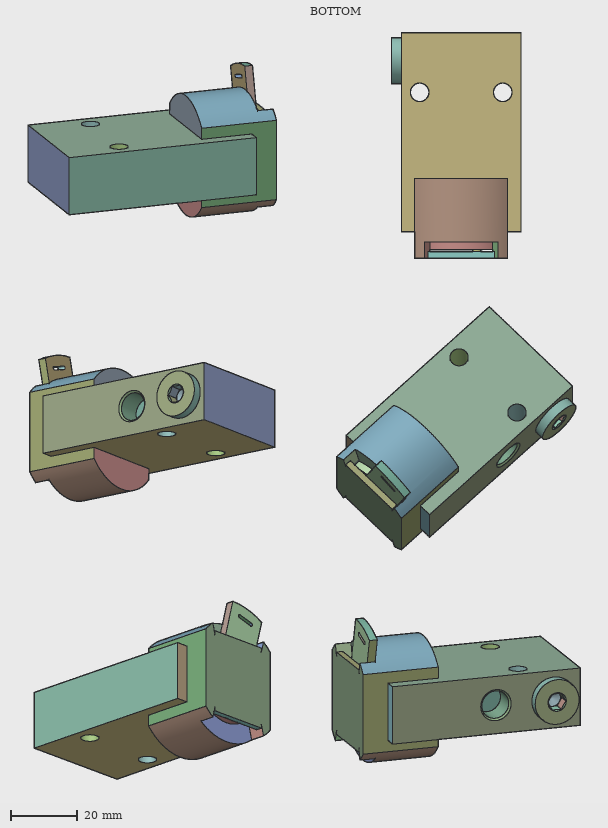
import cadquery as cq
import math

total_length = 68.0

block_width = 36.05
block_length = 60.05
block_height = 18.0

mount_hole_diameter = 5.5
mount_hole_spacing = 25.0
mount_hole_y = 18.0

port_bore_diameter = 8.6
port_mouth_diameter = 9.7
port_chamfer = (port_mouth_diameter - port_bore_diameter) / 2
port_depth = 8.0
open_port_y = 27.0
plugged_port_y = 8.5

cap_diameter = 37.55
cap_width = 28.0
cap_length = 24.0
cap_front_y = total_length - cap_length

recess_depth = 4.95
recess_front_y = total_length - recess_depth
recess_waist_width = 18.9

lever_swing = 15.0
stop_clearance = 0.2
lever_back_y = total_length - 2.45
tab_width = 13.0
tab_radius = 26.0
hub_diameter = 25.3
hub_back_setback = 0.15
hub_back_y = lever_back_y - hub_back_setback
tab_slot_length = 6.1
tab_slot_width = 1.0
tab_slot_radius = 22.0

plate_width = 20.1
plate_height = 25.85
plate_thickness = 2.0
plate_front_y = total_length - plate_thickness
pin_diameter = 2.45
pin_x = 4.7

flange_diameter = 14.0
flange_thickness = 3.0
socket_across_flats = 4.95
socket_across_corners = socket_across_flats / math.cos(math.radians(30))
socket_depth = 4.0
socket_mouth_diameter = 5.85
socket_tip_angle = 118.0


def section_at(y):
    """Plane across the valve at the given Y, local x along -X, local y along +Z, extruding to +Y."""
    return cq.Workplane(cq.Plane(origin=(0, y, 0), xDir=(-1, 0, 0), normal=(0, 1, 0)))


def side_section(x, y):
    """Plane at the given X, centred on the port at the given Y and extruding into the block."""
    return cq.Workplane(cq.Plane(origin=(x, y, 0), xDir=(0, 1, 0), normal=(1, 0, 0)))


def wall_x(z):
    """Half width of the recess on its flared wall, parallel to a tab side at the end of its swing."""
    swing = math.radians(lever_swing)
    return (tab_width / 2 + stop_clearance) / math.cos(swing) + z * math.tan(swing)


def wall_z(x):
    """Height at which the flared wall reaches the given half width."""
    return (x - wall_x(0)) / math.tan(math.radians(lever_swing))


def make_block():
    return cq.Workplane("XY").box(block_width, block_length, block_height, centered=(True, False, True))


def make_cap():
    cap = section_at(cap_front_y).circle(cap_diameter / 2).extrude(cap_length)
    flats = section_at(cap_front_y).rect(cap_width, cap_diameter).extrude(cap_length)
    return cap.intersect(flats)


def make_recess():
    waist_x = recess_waist_width / 2
    waist_z = wall_z(waist_x)
    mouth_z = cap_diameter / 2
    mouth_x = wall_x(mouth_z)
    outline = [
        (mouth_x, mouth_z),
        (waist_x, waist_z),
        (waist_x, -waist_z),
        (mouth_x, -mouth_z),
        (-mouth_x, -mouth_z),
        (-waist_x, -waist_z),
        (-waist_x, waist_z),
        (-mouth_x, mouth_z),
    ]
    return section_at(recess_front_y).polyline(outline).close().extrude(recess_depth)


def make_lever():
    tab_thickness = lever_back_y - recess_front_y
    tab = (
        section_at(recess_front_y)
        .center(0, tab_radius / 2)
        .rect(tab_width, tab_radius)
        .extrude(tab_thickness)
    )
    tab_end = section_at(recess_front_y).circle(tab_radius).extrude(tab_thickness)
    slot = (
        section_at(recess_front_y)
        .center(0, tab_slot_radius)
        .slot2D(tab_slot_length, tab_slot_width)
        .extrude(tab_thickness)
    )
    hub = section_at(recess_front_y).circle(hub_diameter / 2).extrude(hub_back_y - recess_front_y)
    waist = section_at(recess_front_y).rect(recess_waist_width, hub_diameter).extrude(recess_depth)
    swung_tab = tab.intersect(tab_end).cut(slot).rotate((0, 0, 0), (0, 1, 0), -lever_swing)
    return swung_tab.union(hub.intersect(waist))


def make_retaining_plate():
    plate = section_at(plate_front_y).rect(plate_width, plate_height).extrude(plate_thickness)
    pin = (
        section_at(hub_back_y)
        .center(-pin_x, 0)
        .circle(pin_diameter / 2)
        .extrude(plate_front_y - hub_back_y)
    )
    return plate.union(pin)


def make_port(y):
    """Blind bore with a chamfered mouth."""
    face_x = -block_width / 2
    bore = side_section(face_x, y).circle(port_bore_diameter / 2).extrude(port_depth)
    mouth = (
        side_section(face_x, y)
        .circle(port_mouth_diameter / 2)
        .workplane(offset=port_chamfer)
        .circle(port_bore_diameter / 2)
        .loft()
    )
    return bore.union(mouth)


def make_mount_holes():
    return (
        cq.Workplane("XY", origin=(0, mount_hole_y, -block_height / 2))
        .pushPoints([(-mount_hole_spacing / 2, 0), (mount_hole_spacing / 2, 0)])
        .circle(mount_hole_diameter / 2)
        .extrude(block_height)
    )


def make_valve():
    valve = make_block().union(make_cap())
    valve = valve.cut(make_recess())
    valve = valve.union(make_lever()).union(make_retaining_plate())
    for y in (open_port_y, plugged_port_y):
        valve = valve.cut(make_port(y))
    return valve.cut(make_mount_holes())


def cone(x, base_radius, height):
    """Cone on the plug axis, with its base at the given X and its tip towards +X."""
    return cq.Workplane("XY").add(
        cq.Solid.makeCone(base_radius, 0, height, cq.Vector(x, plugged_port_y, 0), cq.Vector(1, 0, 0))
    )


def make_plug_socket(mouth_x):
    """Hexagonal socket with two flats facing up and down, a countersunk mouth and a drilled tip."""
    hexagon = (
        side_section(mouth_x, plugged_port_y)
        .polygon(6, socket_across_corners)
        .extrude(socket_depth)
    )
    mouth_radius = socket_mouth_diameter / 2
    countersink = cone(mouth_x, mouth_radius, mouth_radius)
    tip_radius = socket_across_flats / 2
    tip_height = tip_radius / math.tan(math.radians(socket_tip_angle / 2))
    drill_tip = cone(mouth_x + socket_depth, tip_radius, tip_height)
    return hexagon.union(countersink).union(drill_tip)


def make_plug():
    """Flanged plug whose shank fills the bore of the front port."""
    face_x = -block_width / 2
    mouth_x = face_x - flange_thickness
    flange = side_section(mouth_x, plugged_port_y).circle(flange_diameter / 2).extrude(flange_thickness)
    shank = side_section(face_x, plugged_port_y).circle(port_bore_diameter / 2).extrude(port_depth)
    return flange.union(shank).cut(make_plug_socket(mouth_x))


valve = make_valve()
plug = make_plug()

result = cq.Compound.makeCompound([valve.val(), plug.val()])